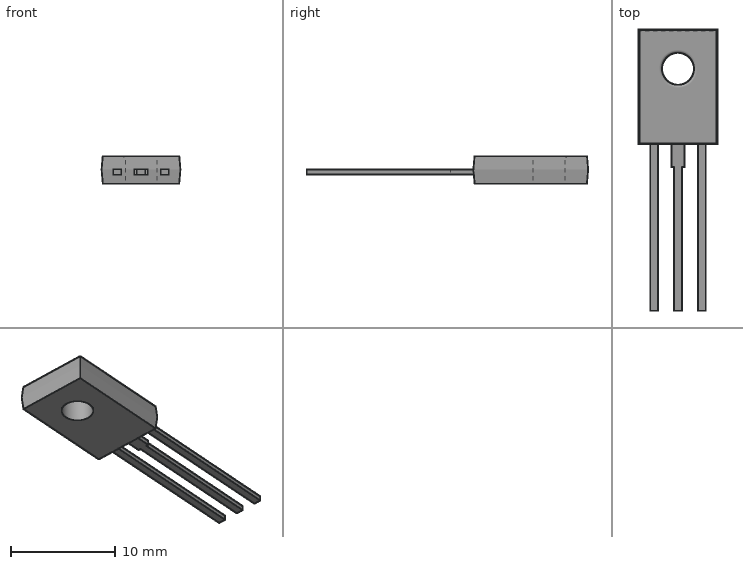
import cadquery as cq


housing_width = 7.6
housing_length = 11.05
housing_height = 2.65
upper_height = 1.27
lower_height = housing_height - upper_height
draft_angle = 5.0

hole_diameter = 3.05
hole_rim_radius = 0.3
hole_to_far_face = 3.8

overall_length = 27.05
lead_reach = overall_length - housing_length
lead_pitch = 2.286
lead_width = 0.77
lead_thickness = 0.5
shoulder_width = 1.25
shoulder_reach = 2.2


def housing_half(height):
    """Half of the housing, tapering from the parting plane; a negative height goes down."""
    return (
        cq.Workplane("XY")
        .center(0, housing_length / 2)
        .rect(housing_width, housing_length)
        .extrude(height, taper=draft_angle)
    )


def make_housing():
    """Drafted block with a through mounting hole whose top rim is rounded."""
    block = housing_half(upper_height).union(housing_half(-lower_height))
    hole_y = housing_length - hole_to_far_face
    drilled = (
        block.faces(">Z")
        .workplane(origin=(0, hole_y, upper_height))
        .hole(hole_diameter)
    )
    rim = drilled.faces(">Z").edges("%CIRCLE")
    return rim.fillet(hole_rim_radius).solids()


def lead_bar(x, width, reach):
    """Flat bar just under the parting plane, running toward -Y to the given reach."""
    root_y = lead_thickness
    length = root_y + reach
    return (
        cq.Workplane("XY")
        .center(x, root_y - length / 2)
        .rect(width, length)
        .extrude(-lead_thickness)
    )


def make_outer_lead(x, housing):
    """Straight lead whose root is trimmed to the sloping housing face."""
    return lead_bar(x, lead_width, lead_reach).cut(housing).solids()


def make_middle_lead(housing):
    """Lead with a wider shoulder next to the housing, trimmed to the same face."""
    shoulder = lead_bar(0, shoulder_width, shoulder_reach)
    return lead_bar(0, lead_width, lead_reach).union(shoulder).cut(housing).solids()


housing = make_housing()
outer_leads = [make_outer_lead(x, housing) for x in (-lead_pitch, lead_pitch)]
middle_lead = make_middle_lead(housing)

result = cq.Compound.makeCompound(
    [
        housing.val(),
        middle_lead.val(),
        *[lead.val() for lead in outer_leads],
    ]
)